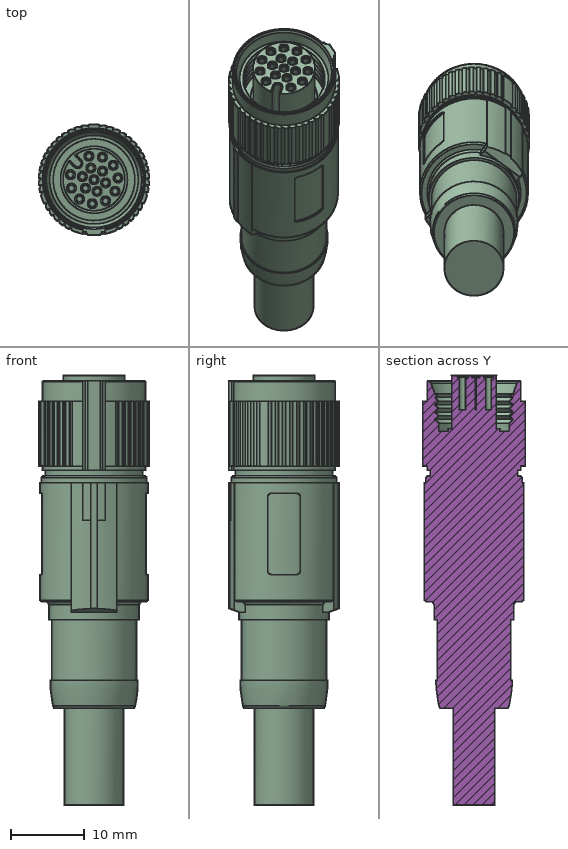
import cadquery as cq
import math

total_height = 58.2
cable_radius = 4.0

relief_bottom_z = 13.1
relief_edge = 0.35
relief_bottom_radius = 5.6
relief_top_radius = 5.95
relief_mid_radius = 5.9
relief_top_z = 16.9
sleeve_radius = 5.75

collar_bottom_z = 25.1
collar_radius = 6.1
body_bottom_z = 27.5
body_top_z = 43.65
body_radius = 7.35
body_edge = 0.25
flare_radius = 6.35
flare_height = 0.4
shoulder_radius = 7.15
shoulder_top_z = 44.6
shoulder_edge = 0.25

wing_width = 6.15
wing_radius = 7.4
wing_rib_width = 0.95
wing_rib_y = 7.5
wing_bottom_z = 26.65
wing_taper_drop = 0.5
mark_width = 3.0
mark_length = 5.05
mark_radius = 7.45

label_width = 4.4
label_height = 11.0
label_middle_z = 36.7
label_corner = 0.5
label_depth = 0.25

nut_radius = 7.0
nut_bottom_z = 45.35
nut_top_z = 57.45
nut_edge = 0.1
neck_radius = 6.65
knurl_radius = 7.5
knurl_bottom_z = 45.9
knurl_top_z = 54.7
knurl_pitch = 7.5
knurl_groove_span = 3.5
knurl_groove_depth = 0.3
knurl_front_start = 25.0
knurl_front_count = 6
knurl_rear_start = 75.0
knurl_rear_count = 14
key_width = mark_width
key_base_y = 7.05
key_slope_width = 2.3
key_top_width = 1.65

bore_floor_z = 50.65
thread_minor_radius = 5.5
thread_major_radius = 6.0
thread_pitch = 1.0
thread_count = 4
lead_in_radius = 6.45
lead_in_depth = 1.75
mouth_radius = 6.7
mouth_depth = 0.3

insert_radius = 4.2
insert_foot_radius = 4.55
insert_foot_height = 0.35
socket_outer_count = 11
socket_outer_radius = 3.25
socket_inner_count = 6
socket_inner_radius = 1.65
socket_mouth_radius = 0.65
socket_mouth_depth = 0.3
socket_bore_radius = 0.4
socket_depth = 4.65
keyway_angle = 135.0
keyway_width = 1.0
keyway_centre_radius = 3.15
keyway_mouth_width = 1.35
keyway_mouth_depth = 0.2


def cylinder(radius, bottom_z, top_z):
    return cq.Workplane("XY").workplane(offset=bottom_z).circle(radius).extrude(top_z - bottom_z)


def polar(radius, angle):
    turn = math.radians(angle)
    return radius * math.cos(turn), radius * math.sin(turn)


def make_cable_and_sleeve():
    """Cable, rounded strain relief and plain sleeve turned about Z."""
    relief_mid_z = (relief_bottom_z + relief_edge + relief_top_z) / 2
    return (
        cq.Workplane("XZ")
        .lineTo(cable_radius, 0)
        .lineTo(cable_radius, relief_bottom_z)
        .lineTo(relief_bottom_radius - relief_edge / 2, relief_bottom_z)
        .lineTo(relief_bottom_radius, relief_bottom_z + relief_edge)
        .threePointArc((relief_mid_radius, relief_mid_z), (relief_top_radius, relief_top_z))
        .lineTo(sleeve_radius, relief_top_z)
        .lineTo(sleeve_radius, collar_bottom_z)
        .lineTo(0, collar_bottom_z)
        .close()
        .revolve(360, (0, 0, 0), (0, 1, 0))
    )


def make_pad(radius, width, bottom_z):
    """Strip of the given width and outer radius on the -Y side, up to the top of the body."""
    strip = (
        cq.Workplane("XY")
        .box(width, radius, body_top_z - bottom_z, centered=(True, False, False))
        .translate((0, -radius, bottom_z))
    )
    return strip.intersect(cylinder(radius, bottom_z, body_top_z))


def make_wing():
    """Round-faced wing with a narrow centre rib, on the -Y side."""
    lowest_z = wing_bottom_z - wing_taper_drop
    wing = make_pad(wing_radius, wing_width, lowest_z)
    wing = wing.union(make_pad(wing_rib_y, wing_rib_width, lowest_z))
    taper = (
        cq.Workplane("YZ")
        .polyline([(-wing_rib_y, lowest_z), (-collar_radius, lowest_z), (-wing_rib_y, wing_bottom_z)])
        .close()
        .extrude(wing_width / 2, both=True)
    )
    return wing.cut(taper)


def make_label_recess():
    """Curved skin of the body within a rounded rectangle, on the -X side."""
    block = (
        cq.Workplane("XY")
        .box(body_radius, label_width, label_height)
        .edges("|X")
        .fillet(label_corner)
        .translate((-body_radius, 0, label_middle_z))
    )
    return block.cut(cylinder(body_radius - label_depth, body_bottom_z, body_top_z))


def make_body():
    body = cylinder(collar_radius, collar_bottom_z, body_bottom_z)
    flare_base = cq.Vector(0, 0, body_bottom_z - flare_height)
    flare = cq.Solid.makeCone(collar_radius, flare_radius, flare_height, flare_base)
    body = body.union(cq.Workplane(flare))
    body = body.union(cylinder(body_radius, body_bottom_z, body_top_z).faces("<Z").chamfer(body_edge))
    shoulder = cylinder(shoulder_radius, body_top_z, shoulder_top_z)
    body = body.union(shoulder.faces(">Z").chamfer(shoulder_edge))
    wing = make_wing()
    recess = make_label_recess()
    for angle in (0, 180):
        body = body.union(wing.rotate((0, 0, 0), (0, 0, 1), angle))
        body = body.cut(recess.rotate((0, 0, 0), (0, 0, 1), angle))
    return body.union(make_pad(mark_radius, mark_width, body_top_z - mark_length))


def make_knurl_groove(angle):
    """Sawtooth groove on the -X half, at an angle away from -Y, deepest on its far side."""
    middle = -90 - angle
    start = polar(knurl_radius, middle + knurl_groove_span / 2)
    end_angle = middle - knurl_groove_span / 2
    return (
        cq.Workplane("XY")
        .workplane(offset=knurl_bottom_z)
        .polyline([start, polar(knurl_radius + knurl_groove_depth, middle), polar(knurl_radius, end_angle),
                   polar(knurl_radius - knurl_groove_depth, end_angle)])
        .close()
        .extrude(knurl_top_z - knurl_bottom_z)
    )


def make_knurl():
    """Grip ring with front and rear fields of grooves, and a channel for the key at -Y."""
    angles = [knurl_front_start + step * knurl_pitch for step in range(knurl_front_count)]
    angles += [knurl_rear_start + step * knurl_pitch for step in range(knurl_rear_count)]
    knurl = cylinder(knurl_radius, knurl_bottom_z, knurl_top_z)
    for angle in angles:
        groove = make_knurl_groove(angle)
        knurl = knurl.cut(groove).cut(groove.mirror("YZ"))
    channel_depth = knurl_radius - key_base_y
    channel = (
        cq.Workplane("XY")
        .box(key_width, channel_depth, knurl_top_z - knurl_bottom_z, centered=(True, False, False))
        .translate((0, -knurl_radius, knurl_bottom_z))
    )
    return knurl.cut(channel)


def make_nut_key():
    """Stepped key bar with sloped flanks, running the full height of the nut."""
    return (
        cq.Workplane("XY")
        .workplane(offset=nut_bottom_z)
        .polyline([(-key_width / 2, 0), (key_width / 2, 0), (key_width / 2, -key_base_y),
                   (key_slope_width / 2, -key_base_y), (key_top_width / 2, -knurl_radius),
                   (-key_top_width / 2, -knurl_radius), (-key_slope_width / 2, -key_base_y),
                   (-key_width / 2, -key_base_y)])
        .close()
        .extrude(nut_top_z - nut_bottom_z)
    )


def make_bore():
    """Bore with a chamfered mouth, a conical lead-in and V-shaped thread rings."""
    thread_top_z = nut_top_z - lead_in_depth
    thread_bottom_z = thread_top_z - thread_count * thread_pitch
    profile = cq.Workplane("XZ").moveTo(0, bore_floor_z).lineTo(thread_minor_radius, bore_floor_z)
    for turn in range(thread_count):
        root_z = thread_bottom_z + turn * thread_pitch
        profile = profile.lineTo(thread_minor_radius, root_z)
        profile = profile.lineTo(thread_major_radius, root_z + thread_pitch / 2)
    return (
        profile.lineTo(thread_minor_radius, thread_top_z)
        .lineTo(thread_major_radius, thread_top_z)
        .lineTo(lead_in_radius, nut_top_z - mouth_depth)
        .lineTo(mouth_radius, nut_top_z)
        .lineTo(0, nut_top_z)
        .close()
        .revolve(360, (0, 0, 0), (0, 1, 0))
    )


def make_nut():
    nut = cylinder(neck_radius, shoulder_top_z, nut_bottom_z)
    nut = nut.union(cylinder(nut_radius, nut_bottom_z, nut_top_z).faces(">Z").chamfer(nut_edge))
    return nut.union(make_knurl()).union(make_nut_key()).cut(make_bore())


def make_keyway(width, bottom_z):
    """Slot with a round inner end, open to the rim and the top of the insert."""
    slot = (
        cq.Workplane("XY")
        .box(insert_radius, width, total_height - bottom_z, centered=(False, True, False))
        .translate((keyway_centre_radius, 0, bottom_z))
    )
    round_end = cylinder(width / 2, bottom_z, total_height).translate((keyway_centre_radius, 0, 0))
    return slot.union(round_end).rotate((0, 0, 0), (0, 0, 1), keyway_angle)


def make_insert():
    """Socket insert: a ring of ten, a ring of six and one centre socket, plus a stepped keyway."""
    insert = cylinder(insert_radius, bore_floor_z, total_height)
    insert = insert.union(cylinder(insert_foot_radius, bore_floor_z, bore_floor_z + insert_foot_height))

    outer_pitch = 360 / socket_outer_count
    inner_pitch = 360 / socket_inner_count
    sockets = [(0, 0)]
    sockets += [
        polar(socket_outer_radius, keyway_angle + place * outer_pitch)
        for place in range(1, socket_outer_count)
    ]
    sockets += [
        polar(socket_inner_radius, keyway_angle + (place + 0.5) * inner_pitch)
        for place in range(socket_inner_count)
    ]
    insert = (
        insert.faces(">Z")
        .workplane(origin=(0, 0, total_height))
        .pushPoints(sockets)
        .cboreHole(2 * socket_bore_radius, 2 * socket_mouth_radius, socket_mouth_depth, socket_depth)
    )

    keyway_bottom_z = bore_floor_z + insert_foot_height
    keyway = make_keyway(keyway_width, keyway_bottom_z)
    keyway_mouth = make_keyway(keyway_mouth_width, total_height - keyway_mouth_depth)
    return insert.cut(keyway).cut(keyway_mouth)


result = make_cable_and_sleeve().union(make_body()).union(make_nut()).union(make_insert())